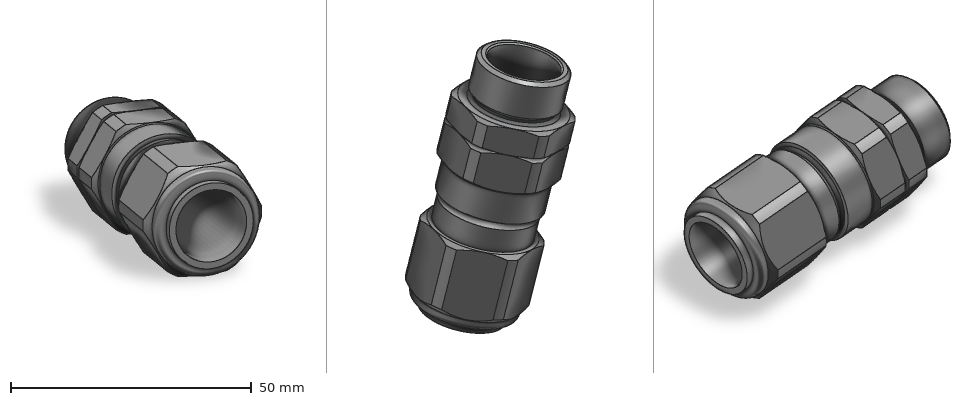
import cadquery as cq
import math

total_length = 59.15

across_flats = 24.0
across_sharp_corners = across_flats / math.cos(math.radians(30))
corner_radius = 13.2
hex_face_radius = 11.95

thread_radius = 10.05
thread_end_radius = 9.2
thread_chamfer_length = 0.75
thread_length = 8.2
undercut_radius = 9.0
undercut_start = 9.1
undercut_end = 9.7
nut_recess_radius = 10.0
locknut_start = 10.1
locknut_front_chamfer = 0.55
locknut_rear_chamfer = 0.4
locknut_end = 16.25

body_hex_end = 24.85
body_chamfer = 0.7
collar_start = 25.15
collar_radius = 11.7
collar_end = 32.1
groove_edge_radius = 10.7
groove_bottom = 32.8
groove_bottom_radius = 9.95
neck_start = 34.0
neck_radius = 10.95

gland_nut_start = 39.15
gland_nut_front_chamfer = 0.75
gland_hex_corner_end = 53.95
rim_start = 55.35
rim_end = 57.4
rim_fillet = 1.05

sleeve_radius = 9.35
bore_radius = 7.85
bore_mouth_radius = 8.3
bore_chamfer_length = 0.3


def revolve_about_x(profile):
    """Turn (x, radius) points, closed along the axis, into a solid of revolution."""
    start = (profile[0][0], 0)
    end = (profile[-1][0], 0)
    outline = cq.Workplane("XY").polyline([start, *profile, end]).close()
    return outline.revolve(360, (0, 0, 0), (1, 0, 0))


def hexagon(profile):
    """Hexagon with flats facing +Z and -Z, its corners turned down to the profile."""
    start = profile[0][0]
    length = profile[-1][0] - start
    bar = (
        cq.Workplane("YZ", origin=(start, 0, 0))
        .polygon(6, across_sharp_corners)
        .extrude(length)
    )
    return bar.intersect(revolve_about_x(profile))


thread = revolve_about_x([
    (0, thread_end_radius),
    (thread_chamfer_length, thread_radius),
    (thread_length, thread_radius),
    (undercut_start, undercut_radius),
    (undercut_end, undercut_radius),
    (locknut_start, nut_recess_radius),
])

locknut = hexagon([
    (locknut_start, hex_face_radius),
    (locknut_start + locknut_front_chamfer, corner_radius),
    (locknut_end - locknut_rear_chamfer, corner_radius),
    (locknut_end, hex_face_radius),
])

body_hexagon = hexagon([
    (locknut_end, hex_face_radius),
    (locknut_end + body_chamfer, corner_radius),
    (body_hex_end - body_chamfer, corner_radius),
    (body_hex_end, hex_face_radius),
])

body_barrel = revolve_about_x([
    (body_hex_end, hex_face_radius),
    (collar_start, collar_radius),
    (collar_end, collar_radius),
    (collar_end, groove_edge_radius),
    (groove_bottom, groove_bottom_radius),
    (neck_start, neck_radius),
    (gland_nut_start, neck_radius),
])

gland_nut = hexagon([
    (gland_nut_start, hex_face_radius),
    (gland_nut_start + gland_nut_front_chamfer, corner_radius),
    (gland_hex_corner_end, corner_radius),
    (rim_start, collar_radius),
])

rim = (
    revolve_about_x([(rim_start, collar_radius), (rim_end, collar_radius)])
    .faces(">X")
    .edges()
    .fillet(rim_fillet)
)

sleeve = revolve_about_x([(rim_end, sleeve_radius), (total_length, sleeve_radius)])

bore = revolve_about_x([
    (0, bore_mouth_radius),
    (bore_chamfer_length, bore_radius),
    (total_length, bore_radius),
])

result = thread
for section in (locknut, body_hexagon, body_barrel, gland_nut, rim, sleeve):
    result = result.union(section)
result = result.cut(bore)